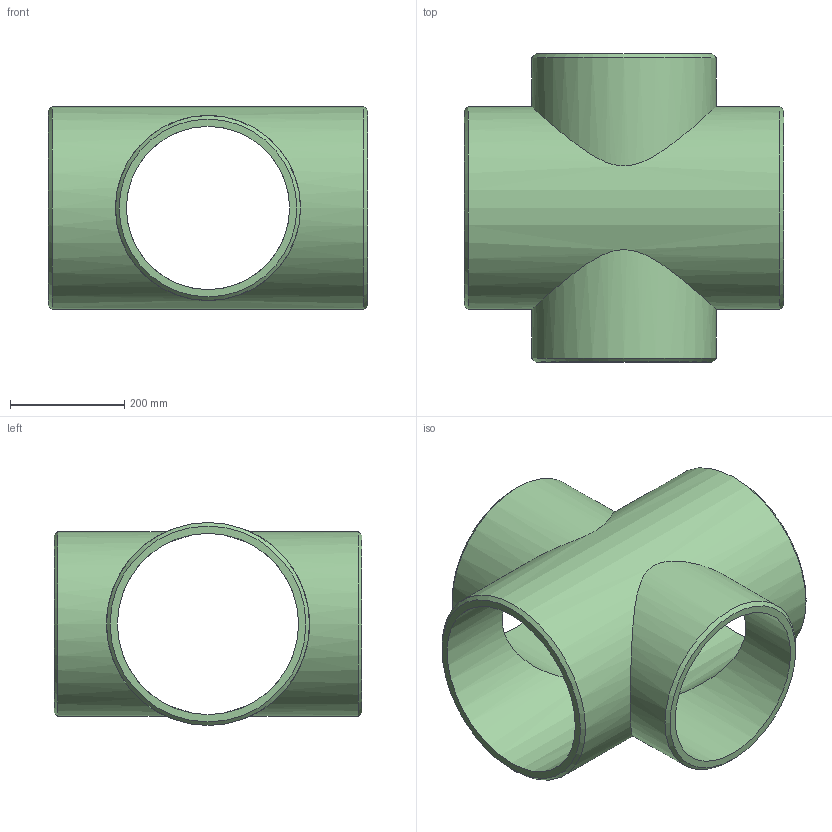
import cadquery as cq

RUN_LENGTH = 558.8
RUN_OUTER_DIAMETER = 355.6
BRANCH_LENGTH = 539.5
BRANCH_OUTER_DIAMETER = 323.85
WALL = 19.05
BEVEL = 6.35


def centred_cylinder(plane, diameter, length):
    """Cylinder along the plane's normal, centred on the origin."""
    return cq.Workplane(plane).circle(diameter / 2).extrude(length / 2, both=True)


def bevelled_bar(plane, outer_diameter, length):
    """Solid round bar with the edges of both ends bevelled for welding."""
    bar = centred_cylinder(plane, outer_diameter, length)
    return bar.faces("%PLANE").edges().chamfer(BEVEL)


def pipe_bore(plane, outer_diameter, length):
    """Through bore that leaves the pipe wall inside the given outer diameter."""
    return centred_cylinder(plane, outer_diameter - 2 * WALL, length)


run = bevelled_bar("YZ", RUN_OUTER_DIAMETER, RUN_LENGTH)
branch = bevelled_bar("XZ", BRANCH_OUTER_DIAMETER, BRANCH_LENGTH)
body = run.union(branch)

run_bore = pipe_bore("YZ", RUN_OUTER_DIAMETER, RUN_LENGTH)
branch_bore = pipe_bore("XZ", BRANCH_OUTER_DIAMETER, BRANCH_LENGTH)
result = body.cut(run_bore).cut(branch_bore)